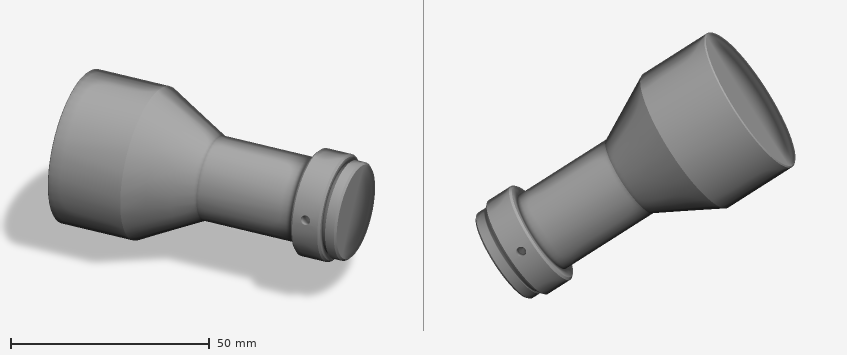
import cadquery as cq
import math

total_length = 76.0
head_end = 20.0
cone_end = 37.0
collar_start = 64.0
collar_end = 72.0
groove_end = 73.0

head_radius = 20.0
tube_radius = 11.0
collar_radius = 14.0
groove_radius = 12.0
flange_radius = 12.8

head_chamfer = 0.3
collar_chamfer = 0.5
flange_chamfer = 0.5

hole_count = 3
hole_diameter = 2.5
hole_radius = hole_diameter / 2
hole_depth = 3.2
hole_tip_height = 1.3
first_hole_angle = 45.0
hole_position = (collar_start + collar_end) / 2


def make_body():
    """Revolve the stepped half outline about the X axis."""
    outline = (
        cq.Workplane("XY")
        .moveTo(0, 0)
        .lineTo(0, head_radius - head_chamfer)
        .lineTo(head_chamfer, head_radius)
        .lineTo(head_end, head_radius)
        .lineTo(cone_end, tube_radius)
        .lineTo(collar_start, tube_radius)
        .lineTo(collar_start, collar_radius - collar_chamfer)
        .lineTo(collar_start + collar_chamfer, collar_radius)
        .lineTo(collar_end - collar_chamfer, collar_radius)
        .lineTo(collar_end, collar_radius - collar_chamfer)
        .lineTo(collar_end, groove_radius)
        .lineTo(groove_end, groove_radius)
        .lineTo(groove_end, flange_radius)
        .lineTo(total_length - flange_chamfer, flange_radius)
        .lineTo(total_length, flange_radius - flange_chamfer)
        .lineTo(total_length, 0)
        .close()
    )
    return outline.revolve(360, (0, 0, 0), (1, 0, 0))


def make_hole_cutter(angle):
    """Drill shape pointing at the axis, at an angle about X measured from +Y."""
    outward = cq.Vector(0, math.cos(math.radians(angle)), math.sin(math.radians(angle)))
    center = cq.Vector(hole_position, 0, 0)
    surface_point = center + outward * collar_radius
    floor_point = surface_point - outward * hole_depth
    drill_wall = cq.Solid.makeCylinder(hole_radius, hole_depth, surface_point, outward * -1)
    drill_tip = cq.Solid.makeCone(hole_radius, 0, hole_tip_height, floor_point, outward * -1)
    return drill_wall.fuse(drill_tip)


result = make_body()
for index in range(hole_count):
    hole_angle = first_hole_angle + index * 360 / hole_count
    result = result.cut(cq.Workplane(make_hole_cutter(hole_angle)))